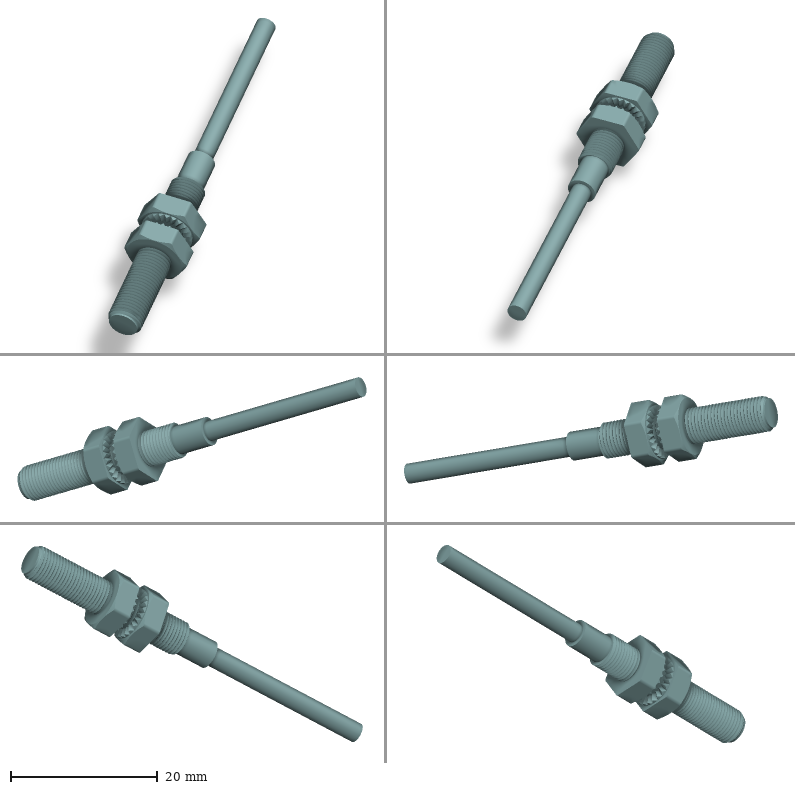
import cadquery as cq
import math


total_length = 55.3
tip_length = 0.3
barrel_length = 25.0
sleeve_length = 5.05
sleeve_diameter = 4.0
cable_diameter = 2.75
cable_end = total_length - tip_length
sleeve_end = barrel_length + sleeve_length

thread_diameter = 5.0
thread_angle = 60.0
thread_turns = 50
barrel_chamfer = 0.45
thread_overrun = 1.1
edge_tolerance = 0.0005
thread_pitch = barrel_length / thread_turns
crest_radius = thread_diameter / 2
thread_depth = thread_pitch / 2 / math.tan(math.radians(thread_angle / 2))
root_radius = crest_radius - thread_depth
tip_radius = crest_radius - barrel_chamfer

hex_across_flats = 8.0
hex_thickness = 2.95
hex_corner_radius = 0.5
hex_chamfer_diameter = 7.9
hex_chamfer_angle = 30.0
tooth_count = 24
tooth_height = 0.55
tooth_ring_diameter = 7.35
front_nut_start = 11.95
nut_gap = 1.0
nut_thickness = hex_thickness + tooth_height
rear_nut_start = front_nut_start + nut_thickness + nut_gap


def along_y(shape, start):
    """Turn a shape built along Z so that it runs along +Y from the given Y."""
    return shape.rotate((0, 0, 0), (1, 0, 0), -90).translate((0, start, 0))


def revolve_about_y(points):
    """Revolve an outline of (Y, radius) points about the Y axis."""
    outline = cq.Workplane("YZ").polyline(points).close()
    return outline.revolve(360, (0, 0, 0), (1, 0, 0))


def helix(radius, start):
    """Right-hand helix around Z that overruns the barrel by thread_overrun at both ends."""
    wire = cq.Wire.makeHelix(thread_pitch, barrel_length + 2 * thread_overrun, radius)
    return wire.translate(cq.Vector(0, 0, start - thread_overrun))


def end_cap(flanks, height):
    """Flat face bounded by the edges where the thread flanks end at the given height."""
    rim = []
    for flank in flanks:
        for edge in flank.Edges():
            box = edge.BoundingBox()
            if max(abs(box.zmin - height), abs(box.zmax - height)) < edge_tolerance:
                rim.append(edge)
    return cq.Face.makeFromWires(cq.Wire.combine(rim, edge_tolerance)[0])


def make_thread():
    """Rod with a sharp V thread along Z from 0: two flanks between helices, and two flat ends."""
    root = helix(root_radius, 0)
    front_flank = cq.Face.makeRuledSurface(helix(crest_radius, -thread_pitch / 2), root)
    rear_flank = cq.Face.makeRuledSurface(root, helix(crest_radius, thread_pitch / 2))
    trim = cq.Solid.makeCylinder(thread_diameter, barrel_length)
    flanks = front_flank.intersect(trim).Faces() + rear_flank.intersect(trim).Faces()
    caps = [end_cap(flanks, 0), end_cap(flanks, barrel_length)]
    rod = cq.Solid.makeSolid(cq.Shell.makeShell(flanks + caps))
    return cq.Workplane(obj=rod)


def make_sensor():
    lead_cone = revolve_about_y([
        (0, 0),
        (0, tip_radius),
        (thread_diameter, tip_radius + thread_diameter),
        (barrel_length, tip_radius + thread_diameter),
        (barrel_length, 0),
    ])
    barrel = along_y(make_thread().rotate((0, 0, 0), (0, 0, 1), 180), 0).intersect(lead_cone)
    tip = cq.Workplane("XZ").circle(tip_radius).extrude(tip_length)
    sleeve = cq.Workplane("XZ", origin=(0, barrel_length, 0)).circle(sleeve_diameter / 2).extrude(-sleeve_length)
    cable = cq.Workplane("XZ", origin=(0, sleeve_end, 0)).circle(cable_diameter / 2).extrude(sleeve_end - cable_end)
    return barrel.union(tip.add(sleeve.union(cable)))


def make_hex():
    """Hexagon body along Z from 0, corners rounded, chamfered at the Z = 0 end."""
    corner_distance = hex_across_flats / math.cos(math.pi / 6)
    prism = (
        cq.Workplane("XY")
        .polygon(6, corner_distance)
        .extrude(hex_thickness)
        .edges("|Z")
        .fillet(hex_corner_radius)
    )
    chamfer_radius = hex_chamfer_diameter / 2
    cone_radius = chamfer_radius + hex_thickness / math.tan(math.radians(hex_chamfer_angle))
    cone = (
        cq.Workplane("XZ")
        .polyline([(0, 0), (chamfer_radius, 0), (cone_radius, hex_thickness), (0, hex_thickness)])
        .close()
        .revolve(360, (0, 0, 0), (0, 1, 0))
    )
    return prism.intersect(cone)


def make_tooth_ring():
    """Ring of radial teeth on Z = 0, crests level at tooth_height, valleys deepening outward."""
    rim = tooth_ring_diameter / 2
    ring = cq.Workplane("XY").circle(rim).extrude(tooth_height)
    reach = 2 * rim
    half_width = reach * math.tan(math.pi / tooth_count)
    apex = cq.Vector(0, 0, tooth_height)
    left = cq.Vector(reach, half_width, tooth_height)
    right = cq.Vector(reach, -half_width, tooth_height)
    bottom = cq.Vector(reach, 0, -tooth_height)
    corners = [(apex, left, right), (apex, left, bottom), (apex, right, bottom), (left, right, bottom)]
    faces = [cq.Face.makeFromWires(cq.Wire.makePolygon(list(c), close=True)) for c in corners]
    groove = cq.Workplane(obj=cq.Solid.makeSolid(cq.Shell.makeShell(faces)))
    for tooth in range(tooth_count):
        ring = ring.cut(groove.rotate((0, 0, 0), (0, 0, 1), (tooth + 0.5) * 360 / tooth_count))
    return ring


def make_nut(start, teeth_in_front):
    """Nut along Y, bored to fit over the thread, with its chamfer always on the front (-Y) side."""
    hexagon = make_hex()
    teeth = make_tooth_ring()
    if teeth_in_front:
        hexagon = hexagon.translate((0, 0, tooth_height))
        teeth = teeth.mirror("XY").translate((0, 0, tooth_height))
    else:
        teeth = teeth.translate((0, 0, hex_thickness))
    bore = cq.Workplane("XY").circle(crest_radius).extrude(nut_thickness)
    return along_y(hexagon.union(teeth).cut(bore), start)


sensor = make_sensor()
nuts = [
    make_nut(front_nut_start, teeth_in_front=False),
    make_nut(rear_nut_start, teeth_in_front=True),
]
result = cq.Compound.makeCompound([sensor.val(), *[nut.val() for nut in nuts]])